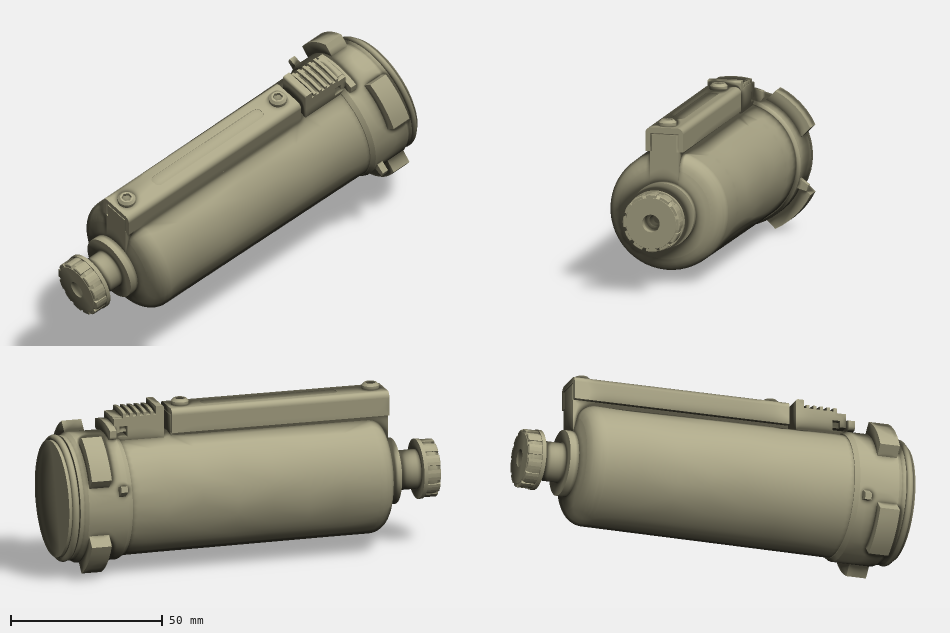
import cadquery as cq
import math


RIM_Y = 132.0
RIM_DIAMETER = 39.1
GROOVE_DIAMETER = 37.9
SEAL_SECTION = 2.2
GROOVE_START = RIM_Y - 1.0
GROOVE_END = GROOVE_START - 2.5
SHOULDER_DIAMETER = 41.7
SHOULDER_END = 127.1
SKIRT_DIAMETER = 43.4
SKIRT_START = 125.7
SKIRT_END = 112.0
SKIRT_CHAMFER_END = 110.4

BARREL_TOP_DIAMETER = 41.0
BARREL_END_DIAMETER = 40.1
BARREL_END = 24.3
DOME_RADIUS = 6.1
DOME_SWEEP = math.radians(76)
COLLAR_DIAMETER = 22.0
COLLAR_START = 17.2
COLLAR_END = 14.1

LUG_RADIUS = 25.9
LUG_WIDTH = 16.9
LUG_TOP = 125.3
LUG_BOTTOM = 118.4
LUG_COUNT = 4
STOP_OUTLINE = [(-24.0, 7.0), (-23.4, 9.0), (-20.0, 8.0), (-20.0, 4.0)]
STOP_TOP = 115.2
STOP_BOTTOM = 113.0

RAIL_WIDTH = 9.8
RAIL_HEIGHT = 21.0
GAUGE_START = 92.4
GAUGE_END = COLLAR_START
COVER_WIDTH = 13.0
COVER_TOP = 29.0
COVER_EDGE_RADIUS = 2.0
COVER_INNER_TOP = 27.0
GLASS_TOP = 26.7
GLASS_CHAMFER = 0.7
WINDOW_WIDTH = 4.4
WINDOW_LENGTH = 47.0
WINDOW_CENTRE = 57.2
WINDOW_CORNER = 1.6
WINDOW_DEPTH = 0.1
SCREW_DIAMETER = 6.0
SCREW_HEIGHT = 2.0
SCREW_CHAMFER = 0.8
SCREW_INSET = 4.6
SOCKET_SIDES = 6
SOCKET_SIZE = 3.4
SOCKET_DEPTH = 1.0

LATCH_WIDTH = 11.5
LATCH_START = 112.3
LATCH_END = 94.9
LATCH_SEAT_START = 107.7
LATCH_SEAT_HEIGHT = 24.5
LATCH_TOP = 27.2
LATCH_PAD_WIDTH = 8.6
LATCH_PAD_HEIGHT = 0.3
LATCH_WALL = 2.0
LATCH_WALL_BOTTOM = 22.3
HOOK_TOP_WIDTH = 7.7
HOOK_BOTTOM_WIDTH = 9.0
HOOK_NECK_BOTTOM = 23.4
GRIP_BASE_RADIUS = 28.2
GRIP_TOOTH_RADIUS = 29.5
GRIP_START = 109.2
TOOTH_COUNT = 5
TOOTH_PITCH = 2.4
TOOTH_THICKNESS = 1.0
LIP_THICKNESS = 2.8
LIP_TOP = 30.5
LIP_RADIUS = 0.8
PLATE_WIDTH = 17.2
PLATE_RADIUS = 25.5
PLATE_BOTTOM = 20.7
PLATE_CORNER = 1.2
PLATE_START = 114.6

STEM_DIAMETER = 13.2
STEM_FILLET = 0.4
KNOB_FLANGE_DIAMETER = 20.0
KNOB_TOP = 6.1
KNOB_FLANGE_HEIGHT = 1.3
KNOB_CORE_RADIUS = 9.4
KNOB_FACE_RADIUS = 8.6
KNOB_TAPER_HEIGHT = 1.6
KNOB_TOOTH_RADIUS = 9.8
KNOB_TOOTH_WIDTH = 3.4
KNOB_TOOTH_CREST = 1.2
KNOB_TOOTH_SHOULDER = 9.5
KNOB_TOOTH_CHAMFER = 0.3
KNOB_TOOTH_SETBACK = 0.1
KNOB_TOOTH_COUNT = 12
OUTLET_DIAMETER = 6.0
OUTLET_DEPTH = 5.3
DRAIN_BORE_DIAMETER = 4.0
DRAIN_BORE_DEPTH = 10.5


def cross_section(y):
    """Workplane across the bowl axis: local x is X, local y is Z, and extruding goes towards -Y."""
    return cq.Workplane("XZ", origin=(0, y, 0))


def cylinder(diameter, y_high, y_low):
    """Cylinder on the bowl axis."""
    return cross_section(y_high).circle(diameter / 2).extrude(y_high - y_low)


def block(width, y_high, y_low, z_low, z_high):
    """Box centred on X = 0."""
    height = z_high - z_low
    middle = (z_low + z_high) / 2
    return cross_section(y_high).center(0, middle).rect(width, height).extrude(y_high - y_low)


def crowned_block(width, radius, y_high, y_low, z_low):
    """Box centred on X = 0 whose top follows a cylinder on the bowl axis."""
    return block(width, y_high, y_low, z_low, radius).intersect(cylinder(2 * radius, y_high, y_low))


def bowl_shell():
    barrel_end_radius = BARREL_END_DIAMETER / 2
    dome_centre_r = barrel_end_radius - DOME_RADIUS

    def dome_point(angle):
        return dome_centre_r + DOME_RADIUS * math.cos(angle), BARREL_END - DOME_RADIUS * math.sin(angle)

    profile = (
        cq.Workplane("XY")
        .moveTo(0, RIM_Y)
        .lineTo(RIM_DIAMETER / 2, RIM_Y)
        .lineTo(RIM_DIAMETER / 2, GROOVE_START)
        .lineTo(GROOVE_DIAMETER / 2, GROOVE_START)
        .lineTo(GROOVE_DIAMETER / 2, GROOVE_END)
        .lineTo(SHOULDER_DIAMETER / 2, GROOVE_END)
        .lineTo(SHOULDER_DIAMETER / 2, SHOULDER_END)
        .lineTo(SKIRT_DIAMETER / 2, SKIRT_START)
        .lineTo(SKIRT_DIAMETER / 2, SKIRT_END)
        .lineTo(SHOULDER_DIAMETER / 2, SKIRT_CHAMFER_END)
        .lineTo(BARREL_TOP_DIAMETER / 2, SKIRT_CHAMFER_END)
        .lineTo(barrel_end_radius, BARREL_END)
        .threePointArc(dome_point(DOME_SWEEP / 2), dome_point(DOME_SWEEP))
        .lineTo(COLLAR_DIAMETER / 2, COLLAR_START)
        .lineTo(COLLAR_DIAMETER / 2, COLLAR_END)
        .lineTo(0, COLLAR_END)
        .close()
    )
    return profile.revolve(360, (0, 0, 0), (0, 1, 0))


def bayonet_lugs():
    """Two crossed bars, rounded at the ends; each bar forms an opposite pair of lugs."""
    height = LUG_TOP - LUG_BOTTOM
    bar = cross_section(LUG_TOP).rect(2 * LUG_RADIUS, LUG_WIDTH).extrude(height)
    lugs = cq.Workplane("XY")
    for index in range(LUG_COUNT // 2):
        lugs = lugs.add(bar.rotate((0, 0, 0), (0, 1, 0), (index + 0.5) * 360 / LUG_COUNT))
    cross = lugs.combine()
    return cross.intersect(cylinder(2 * LUG_RADIUS, LUG_TOP, LUG_BOTTOM))


def stop_pins():
    pin = cross_section(STOP_TOP).polyline(STOP_OUTLINE).close().extrude(STOP_TOP - STOP_BOTTOM)
    return pin.union(pin.rotate((0, 0, 0), (0, 1, 0), 180))


def knob_tooth(index):
    """One tooth of the knob, with sloping shoulders on both sides of its crest."""
    y_high = KNOB_TOP - KNOB_FLANGE_HEIGHT
    half_width, half_crest = KNOB_TOOTH_WIDTH / 2, KNOB_TOOTH_CREST / 2
    outline = [
        (-half_width, 0),
        (-half_width, KNOB_TOOTH_SHOULDER),
        (-half_crest, KNOB_TOOTH_RADIUS),
        (half_crest, KNOB_TOOTH_RADIUS),
        (half_width, KNOB_TOOTH_SHOULDER),
        (half_width, 0),
    ]
    tooth = cross_section(y_high).polyline(outline).close().extrude(y_high - KNOB_TOOTH_SETBACK)
    envelope = cylinder(2 * KNOB_TOOTH_RADIUS, y_high, KNOB_TOOTH_SETBACK)
    tooth = tooth.intersect(envelope.faces("<Y").chamfer(KNOB_TOOTH_CHAMFER))
    return tooth.rotate((0, 0, 0), (0, 1, 0), index * 360 / KNOB_TOOTH_COUNT)


def drain():
    """Stem below the collar, ending in the knurled knob."""
    stem_radius = STEM_DIAMETER / 2
    fillet_offset = STEM_FILLET * (1 - math.sqrt(0.5))
    profile = (
        cq.Workplane("XY")
        .moveTo(0, COLLAR_END)
        .lineTo(stem_radius + STEM_FILLET, COLLAR_END)
        .threePointArc(
            (stem_radius + fillet_offset, COLLAR_END - fillet_offset),
            (stem_radius, COLLAR_END - STEM_FILLET),
        )
        .lineTo(stem_radius, KNOB_TOP)
        .lineTo(KNOB_FLANGE_DIAMETER / 2, KNOB_TOP)
        .lineTo(KNOB_FLANGE_DIAMETER / 2, KNOB_TOP - KNOB_FLANGE_HEIGHT)
        .lineTo(KNOB_CORE_RADIUS, KNOB_TOP - KNOB_FLANGE_HEIGHT)
        .lineTo(KNOB_CORE_RADIUS, KNOB_TAPER_HEIGHT)
        .lineTo(KNOB_FACE_RADIUS, 0)
        .lineTo(0, 0)
        .close()
    )
    body = profile.revolve(360, (0, 0, 0), (0, 1, 0))
    for index in range(KNOB_TOOTH_COUNT):
        body = body.union(knob_tooth(index))
    return body


def make_bowl():
    bowl = bowl_shell().union(drain()).union(bayonet_lugs()).union(stop_pins())
    gauge_rail = block(RAIL_WIDTH, GAUGE_START, GAUGE_END, 0, RAIL_HEIGHT)
    latch_foot = block(LATCH_WIDTH, SKIRT_END, LATCH_SEAT_START, 0, RAIL_HEIGHT)
    latch_seat = block(LATCH_WIDTH, LATCH_SEAT_START, LATCH_END, 0, LATCH_SEAT_HEIGHT)
    bowl = bowl.union(gauge_rail).union(latch_foot).union(latch_seat)
    bowl = bowl.cut(cylinder(OUTLET_DIAMETER, OUTLET_DEPTH, 0))
    return bowl.cut(cylinder(DRAIN_BORE_DIAMETER, DRAIN_BORE_DEPTH, 0))


def make_seal_ring():
    """O-ring resting on the floor of the rim groove."""
    ring_radius = (GROOVE_DIAMETER + SEAL_SECTION) / 2
    ring_y = GROOVE_START - SEAL_SECTION / 2
    plane = cq.Plane(origin=(ring_radius, ring_y, 0), xDir=(-1, 0, 0), normal=(0, 0, 1))
    section = cq.Workplane(plane).circle(SEAL_SECTION / 2)
    return section.revolve(360, (ring_radius, 0, 0), (ring_radius, 1, 0))


def gauge_screw(y):
    screw = (
        cq.Workplane("XY", origin=(0, y, COVER_TOP))
        .circle(SCREW_DIAMETER / 2)
        .extrude(SCREW_HEIGHT)
        .faces(">Z")
        .chamfer(SCREW_CHAMFER)
    )
    return screw.faces(">Z").workplane().polygon(SOCKET_SIDES, SOCKET_SIZE).cutBlind(-SOCKET_DEPTH)


def make_gauge():
    cover = block(COVER_WIDTH, GAUGE_START, GAUGE_END, RAIL_HEIGHT, COVER_TOP)
    cover = cover.edges("|Y and >Z").fillet(COVER_EDGE_RADIUS)
    cover = cover.cut(block(RAIL_WIDTH, GAUGE_START, GAUGE_END, RAIL_HEIGHT, COVER_INNER_TOP))

    window = (
        cq.Workplane("XY", origin=(0, WINDOW_CENTRE, COVER_TOP - WINDOW_DEPTH))
        .rect(WINDOW_WIDTH, WINDOW_LENGTH)
        .extrude(WINDOW_DEPTH)
        .edges("|Z")
        .fillet(WINDOW_CORNER)
    )
    glass = block(RAIL_WIDTH, GAUGE_START, GAUGE_END, RAIL_HEIGHT, GLASS_TOP)
    glass = glass.edges("|Z").chamfer(GLASS_CHAMFER)

    gauge = cover.cut(window).union(glass)
    for y in (GAUGE_START - SCREW_INSET, GAUGE_END + SCREW_INSET):
        gauge = gauge.union(gauge_screw(y))
    return gauge


def latch_plate():
    """Cross plate with an arched top, resting on the bowl skirt."""
    plate = block(PLATE_WIDTH, PLATE_START, LATCH_START, PLATE_BOTTOM, PLATE_RADIUS)
    plate = plate.edges("|Y and <Z").fillet(PLATE_CORNER)
    plate = plate.intersect(cylinder(2 * PLATE_RADIUS, PLATE_START, LATCH_START))
    return plate.cut(cylinder(SKIRT_DIAMETER, PLATE_START, LATCH_START))


def latch_hook():
    """Hook below the latch body, next to its end wall and flared at its lower edge."""
    y_high = LATCH_START - LATCH_WALL
    neck, flare = HOOK_TOP_WIDTH / 2, HOOK_BOTTOM_WIDTH / 2
    outline = [
        (-neck, LATCH_SEAT_HEIGHT),
        (neck, LATCH_SEAT_HEIGHT),
        (neck, HOOK_NECK_BOTTOM),
        (flare, LATCH_WALL_BOTTOM),
        (-flare, LATCH_WALL_BOTTOM),
        (-neck, HOOK_NECK_BOTTOM),
    ]
    return cross_section(y_high).polyline(outline).close().extrude(y_high - LATCH_SEAT_START)


def make_latch():
    lip_start = LATCH_END + LIP_THICKNESS
    wall_end = LATCH_START - LATCH_WALL
    pad_top = LATCH_TOP + LATCH_PAD_HEIGHT
    latch = block(LATCH_WIDTH, LATCH_START, LATCH_END, LATCH_SEAT_HEIGHT, LATCH_TOP)
    latch = latch.union(block(LATCH_WIDTH, LATCH_START, wall_end, LATCH_WALL_BOTTOM, LATCH_TOP))
    latch = latch.union(block(LATCH_PAD_WIDTH, LATCH_START, GRIP_START, LATCH_SEAT_HEIGHT, pad_top))
    latch = latch.union(latch_plate()).union(latch_hook())

    grip = crowned_block(LATCH_WIDTH, GRIP_BASE_RADIUS, GRIP_START, lip_start, LATCH_SEAT_HEIGHT)
    latch = latch.union(grip)
    for index in range(TOOTH_COUNT):
        y = GRIP_START - index * TOOTH_PITCH
        y_low = y - TOOTH_THICKNESS
        latch = latch.union(crowned_block(LATCH_WIDTH, GRIP_TOOTH_RADIUS, y, y_low, LATCH_SEAT_HEIGHT))

    lip = block(LATCH_WIDTH, lip_start, LATCH_END, LATCH_SEAT_HEIGHT, LIP_TOP)
    return latch.union(lip.edges("|X and >Z and <Y").fillet(LIP_RADIUS))


bowl = make_bowl()
seal_ring = make_seal_ring()
gauge = make_gauge()
latch = make_latch()

bodies = [bowl, seal_ring, gauge, latch]
result = cq.Compound.makeCompound([body.solids().val() for body in bodies])